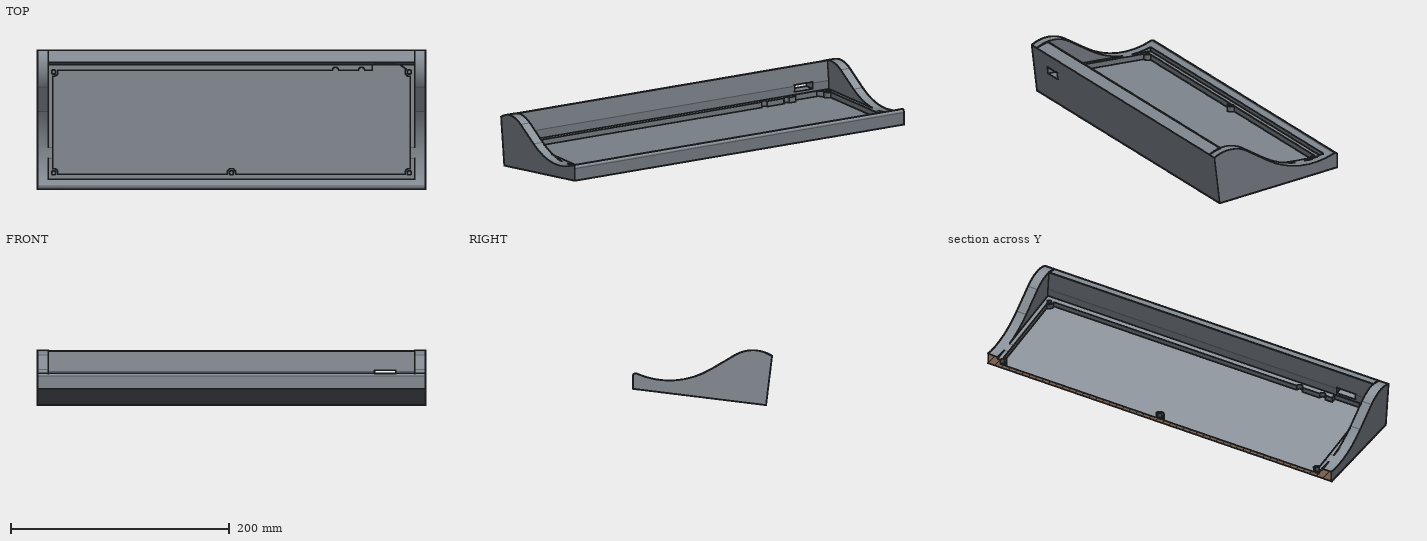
import cadquery as cq
import math

length = 355.0
depth = 127.5
height = 50.5
front_y = -depth / 2
back_y = depth / 2

bottom_back_y = 58.2
bottom_front_z = 15.0
back_top_z = 45.0
rim_front_z = 49.5
crest_y = 45.5
crest_radius = 30.0
trough_y = -30.0
trough_z = 22.7
trough_radius = 74.5
slope_angle = math.radians(30.6)
lip_radius = 2.5

side_wall = 10.0
opening_front_y = -54.3
opening_back_y = 52.5
crease_y = 50.5
crease_z = 31.2
ledge_rise = 0.18
ledge_z = trough_z + ledge_rise
floor_z = 17.8
pocket_half_x = 163.3
pocket_front_y = -49.7
pocket_back_y = 45.0

boss_radius = 4.0
screw_diameter = 4.0
boss_x = 162.5
boss_front_y = -48.5
boss_back_y = 43.5
notch_radius = 3.0
notch_positions = (95.0, 119.0)
connector_left_x = 129.0
connector_right_x = 154.5
connector_back_y = 50.0

port_left_x = 131.0
port_right_x = 150.0
port_bottom_z = 25.5
port_top_z = 32.0

opening_length = length - 2 * side_wall
pocket_depth = height - floor_z
clearance = 3.5
clear_z = height + clearance


def arc_point(center_y, center_z, radius, angle):
    """Point on a circle, with the angle measured from +Z toward -Y."""
    return center_y - radius * math.sin(angle), center_z + radius * math.cos(angle)


def make_body():
    """Solid wave profile, swept along X, with a rounded front lip."""
    crest_z = height - crest_radius
    trough_center_z = trough_z + trough_radius
    crest_end = arc_point(crest_y, crest_z, crest_radius, slope_angle)
    trough_start = arc_point(trough_y, trough_center_z, -trough_radius, slope_angle)
    lip_rise = math.sqrt(trough_radius**2 - (front_y - trough_y) ** 2)
    profile = (
        cq.Workplane("YZ", origin=(-length / 2, 0, 0))
        .moveTo(bottom_back_y, 0)
        .lineTo(back_y, back_top_z)
        .threePointArc((crest_y, height), crest_end)
        .lineTo(*trough_start)
        .threePointArc((trough_y, trough_z), (front_y, trough_center_z - lip_rise))
        .lineTo(front_y, bottom_front_z)
        .close()
    )
    lip_edge = cq.selectors.BoxSelector(
        (-length, front_y - lip_radius, trough_z + lip_radius),
        (length, front_y + lip_radius, height),
    )
    return profile.extrude(length).edges(lip_edge).fillet(lip_radius)


def make_opening():
    """Space above the ledge; its back face leans with the back wall down to a crease."""
    lean = (opening_back_y - crease_y) / (height - crease_z)
    return (
        cq.Workplane("YZ", origin=(-opening_length / 2, 0, 0))
        .moveTo(opening_front_y, ledge_z)
        .lineTo(crease_y, ledge_z)
        .lineTo(crease_y, crease_z)
        .lineTo(crease_y + lean * (clear_z - crease_z), clear_z)
        .lineTo(opening_front_y, clear_z)
        .close()
        .extrude(opening_length)
    )


def make_rim_cut():
    """Space above the flat, sloping rim of the back wall, between the raised side walls."""
    return (
        cq.Workplane("YZ", origin=(-opening_length / 2, 0, 0))
        .moveTo(opening_back_y, rim_front_z)
        .lineTo(back_y, back_top_z)
        .lineTo(back_y, clear_z)
        .lineTo(opening_back_y, clear_z)
        .close()
        .extrude(opening_length)
    )


def make_pocket():
    """Deep pocket inside the ledge, with bosses left standing and ledge cutouts."""
    floor_plane = cq.Workplane("XY", origin=(0, 0, floor_z))
    pocket = (
        floor_plane.moveTo(-pocket_half_x, pocket_front_y)
        .lineTo(pocket_half_x, pocket_front_y)
        .lineTo(pocket_half_x, boss_back_y)
        .lineTo(connector_right_x, connector_back_y)
        .lineTo(connector_left_x, connector_back_y)
        .lineTo(connector_left_x, pocket_back_y)
        .lineTo(-pocket_half_x, pocket_back_y)
        .close()
        .extrude(pocket_depth)
    )
    notches = (
        floor_plane.pushPoints([(x, pocket_back_y) for x in notch_positions])
        .circle(notch_radius)
        .extrude(pocket_depth)
    )
    bosses = floor_plane.pushPoints(screw_points).circle(boss_radius).extrude(pocket_depth)
    return pocket.union(notches).cut(bosses)


def make_port():
    """Rectangular opening through the back wall."""
    return cq.Workplane("XY").box(
        port_right_x - port_left_x,
        back_y - pocket_back_y,
        port_top_z - port_bottom_z,
        centered=False,
    ).translate((port_left_x, pocket_back_y, port_bottom_z))


screw_points = [
    (-boss_x, boss_back_y),
    (boss_x, boss_back_y),
    (-boss_x, boss_front_y),
    (boss_x, boss_front_y),
    (0, boss_front_y),
]
screw_holes = (
    cq.Workplane("XY", origin=(0, 0, floor_z))
    .pushPoints(screw_points)
    .circle(screw_diameter / 2)
    .extrude(pocket_depth)
)

result = (
    make_body()
    .cut(make_opening())
    .cut(make_rim_cut())
    .cut(make_pocket())
    .cut(screw_holes)
    .cut(make_port())
)